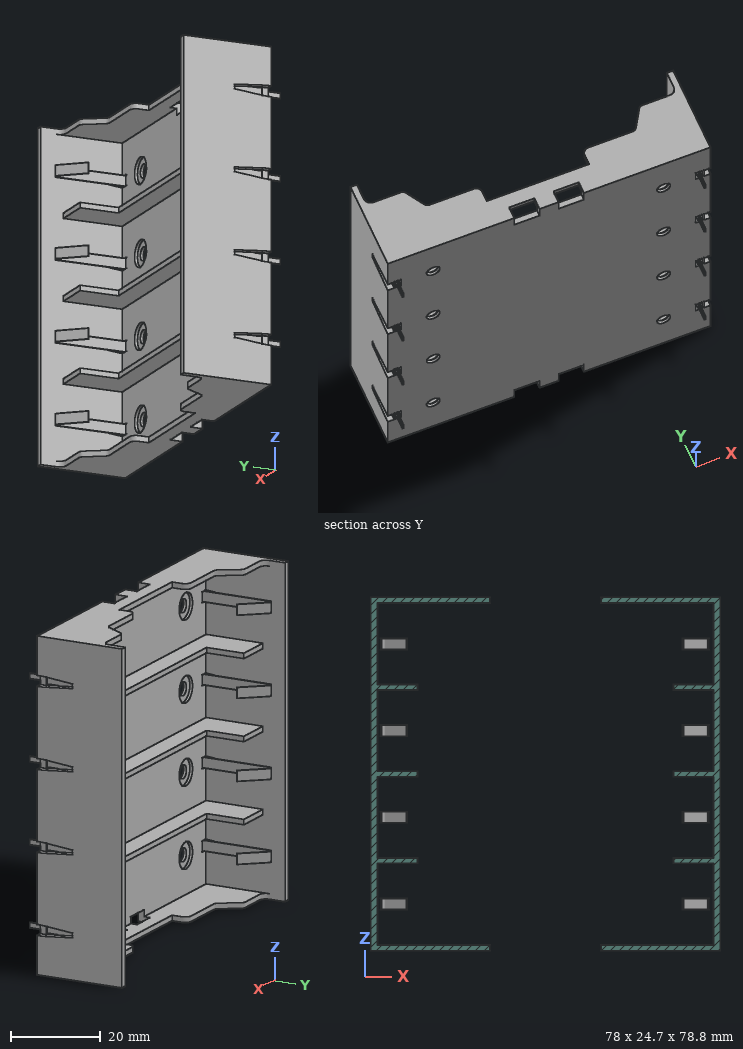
import cadquery as cq
import math

length_x = 78.0
height_z = 78.85
depth_y = 21.5
floor_thickness = 1.5
side_wall = 1.6
end_wall = 1.35

shoulder_y = 15.9
step_y = 10.5
middle_y = 6.5
shoulder_end = 10.5
step_start = 13.8
middle_start = 26.65
rim_root_fillet = 1.6
rim_slope_fillet = 1.3
rim_step_fillet = 1.5

cell_count = 4
cell_pitch = 19.3
cell_heights = [(i - (cell_count - 1) / 2) * cell_pitch for i in range(cell_count)]
divider_heights = [z + cell_pitch / 2 for z in cell_heights[:-1]]
divider_thickness = 1.3
fittings_shift_x = -0.15

hole_diameter = 3.15
hole_spacing = 55.7
recess_diameter = 6.3
recess_skin = 0.8

window_width = 6.1
window_x = 5.4
window_height_y = 3.0
window_depth_z = 2.9

slot_wide = 2.5
slot_narrow = 1.1
slot_top_y = 9.0

strip_thickness = 0.3
strip_width = slot_wide
leg_start = 2.4
contact_top_y = 18.7
bend_radius = 0.8
spring_angle = 50.0
spring_length = 7.1
pin_width = 1.3
pin_length = 3.2

passage_start = 1.9
passage_end = 3.4


def make_tray():
    tray = cq.Workplane("XY").box(length_x, depth_y, height_z, centered=(True, False, True))
    cavity = (
        cq.Workplane("XY")
        .box(length_x - 2 * side_wall, depth_y, height_z - 2 * end_wall, centered=(True, False, True))
        .translate((0, floor_thickness, 0))
    )
    return tray.cut(cavity)


def make_rim_cutter():
    """Everything above the stepped rim, between the side walls."""
    half = length_x / 2
    right_rim = [
        (half - middle_start, middle_y),
        (half - middle_start, step_y),
        (half - step_start, step_y),
        (half - shoulder_end, shoulder_y),
        (half - side_wall, shoulder_y),
        (half - side_wall, depth_y),
    ]
    left_rim = [(-x, y) for x, y in reversed(right_rim)]
    cutter = (
        cq.Workplane("XY").polyline(right_rim + left_rim).close().extrude(height_z / 2, both=True)
    )
    fillets = [
        (half - middle_start, step_y, rim_step_fillet),
        (half - step_start, step_y, rim_slope_fillet),
        (half - shoulder_end, shoulder_y, rim_slope_fillet),
        (half - side_wall, shoulder_y, rim_root_fillet),
    ]
    reach = 0.1
    for x, y, radius in fillets:
        for side in (-1, 1):
            corner = cq.selectors.BoxSelector(
                (side * x - reach, y - reach, -height_z),
                (side * x + reach, y + reach, height_z),
            )
            cutter = cutter.edges("|Z").edges(corner).fillet(radius)
    return cutter


def make_divider():
    """Low wall across the tray that rises to the shoulder at both side walls."""
    half = length_x / 2
    wall_face = half - side_wall
    post_face = half - shoulder_end
    outline = [
        (-wall_face, floor_thickness),
        (-wall_face, shoulder_y),
        (-post_face, shoulder_y),
        (-post_face, middle_y),
        (post_face, middle_y),
        (post_face, shoulder_y),
        (wall_face, shoulder_y),
        (wall_face, floor_thickness),
    ]
    return cq.Workplane("XY").polyline(outline).close().extrude(divider_thickness / 2, both=True)


def make_screw_holes():
    places = [
        (fittings_shift_x + side * hole_spacing / 2, z) for side in (-1, 1) for z in cell_heights
    ]
    holes = (
        cq.Workplane("XZ").pushPoints(places).circle(hole_diameter / 2).extrude(-floor_thickness)
    )
    recesses = (
        cq.Workplane("XZ", origin=(0, recess_skin, 0))
        .pushPoints(places)
        .circle(recess_diameter / 2)
        .extrude(recess_skin - floor_thickness)
    )
    return holes.union(recesses)


def make_windows():
    places = [(x, z) for x in (-window_x, window_x) for z in (-height_z / 2, height_z / 2)]
    return (
        cq.Workplane("XZ")
        .pushPoints(places)
        .rect(window_width, 2 * window_depth_z)
        .extrude(-window_height_y)
    )


def make_slot():
    """Slot in the -X wall: straight through the floor, then narrowing upwards."""
    outline = [
        (0, slot_wide / 2),
        (floor_thickness, slot_wide / 2),
        (slot_top_y, slot_narrow / 2),
        (slot_top_y, -slot_narrow / 2),
        (floor_thickness, -slot_wide / 2),
        (0, -slot_wide / 2),
    ]
    return (
        cq.Workplane("YZ", origin=(-length_x / 2, 0, 0)).polyline(outline).close().extrude(side_wall)
    )


def make_passage():
    return (
        cq.Workplane("XY")
        .box(passage_end - passage_start, floor_thickness, strip_width, centered=(False, False, True))
        .translate((passage_start - length_x / 2, 0, 0))
    )


def make_contact():
    """Contact at the -X wall: pin, upright leg, bend and spring arm sloping down into the cell."""
    leg_x = leg_start - length_x / 2
    inner_radius = bend_radius - strip_thickness
    center_x = leg_x + bend_radius
    center_y = contact_top_y - bend_radius
    slope = math.radians(spring_angle)
    end_angle = math.pi / 2 - slope
    middle_angle = (math.pi + end_angle) / 2
    run_x = spring_length * math.cos(slope)
    drop_y = spring_length * math.sin(slope)

    def on_bend(radius, angle):
        return (center_x + radius * math.cos(angle), center_y + radius * math.sin(angle))

    def arm_tip(start):
        return (start[0] + run_x, start[1] - drop_y)

    outer_end = on_bend(bend_radius, end_angle)
    inner_end = on_bend(inner_radius, end_angle)
    strip = (
        cq.Workplane("XY")
        .moveTo(leg_x, 0)
        .lineTo(leg_x, center_y)
        .threePointArc(on_bend(bend_radius, middle_angle), outer_end)
        .lineTo(*arm_tip(outer_end))
        .lineTo(*arm_tip(inner_end))
        .lineTo(*inner_end)
        .threePointArc(on_bend(inner_radius, middle_angle), (leg_x + strip_thickness, center_y))
        .lineTo(leg_x + strip_thickness, 0)
        .close()
        .extrude(strip_width / 2, both=True)
    )
    pin = (
        cq.Workplane("XY")
        .box(strip_thickness, pin_length, pin_width, centered=(False, False, True))
        .translate((leg_x, -pin_length, 0))
    )
    return strip.union(pin)


def at_cells(part, shift_x=0.0):
    """Copies of a -X side part at every cell, each with its mirror image at the +X side, all shifted."""
    copies = []
    for z in cell_heights:
        left = part.translate((0, 0, z))
        for copy in (left, left.mirror("YZ")):
            copies.append(copy.translate((shift_x, 0, 0)))
    return copies


def make_housing():
    body = make_tray().cut(make_rim_cutter())
    divider = make_divider()
    for z in divider_heights:
        body = body.union(divider.translate((0, 0, z)))
    body = body.cut(make_screw_holes()).cut(make_windows())
    for opening in at_cells(make_slot()) + at_cells(make_passage(), fittings_shift_x):
        body = body.cut(opening)
    return body


housing = make_housing()
contacts = at_cells(make_contact(), fittings_shift_x)

result = cq.Compound.makeCompound([housing.val(), *[contact.val() for contact in contacts]])